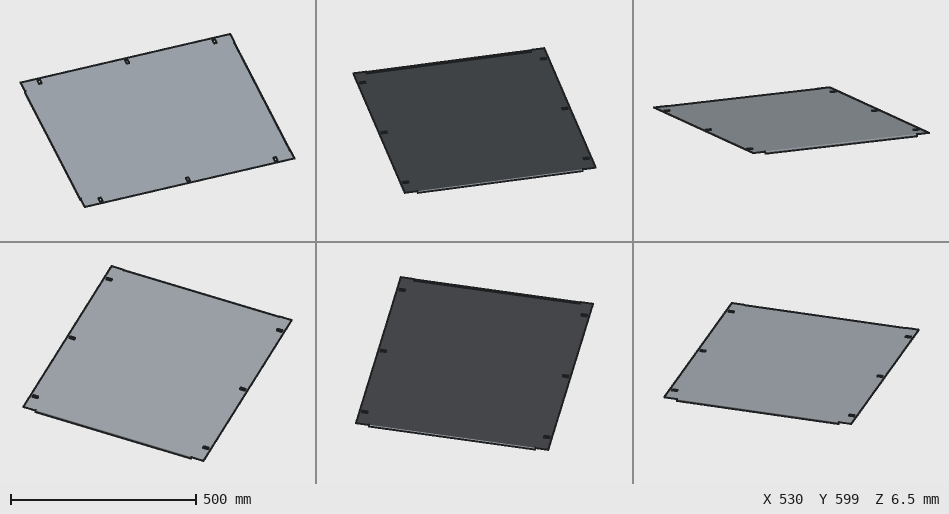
import cadquery as cq

panel_width = 530.0
panel_length = 599.0
total_height = 6.5
sheet_thickness = 1.0

corner_setback = 36.0
flange_width = panel_width - 2 * corner_setback
bend_outer_radius = 2.5
bend_inner_radius = bend_outer_radius - sheet_thickness

slot_width = 14.5
slot_height = 7.0
slot_edge_distance = 14.5
slot_row_spacing = 250.0

half_length = panel_length / 2
plate_bottom = total_height - sheet_thickness
bend_start = half_length - bend_outer_radius


def make_plate():
    """Flat sheet whose edges are cut back to the start of each bend."""
    plate = (
        cq.Workplane("XY", origin=(0, 0, plate_bottom))
        .rect(panel_width, panel_length)
        .extrude(sheet_thickness)
    )
    bend_notches = (
        cq.Workplane("XY", origin=(0, 0, plate_bottom))
        .pushPoints([(0, -half_length), (0, half_length)])
        .rect(flange_width, 2 * bend_outer_radius)
        .extrude(sheet_thickness)
    )
    return plate.cut(bend_notches)


def make_flange():
    """Rounded 90 degree bend and downward lip along the +Y edge."""
    bend_centre_height = total_height - bend_outer_radius
    return (
        cq.Workplane("YZ", origin=(-flange_width / 2, 0, 0))
        .moveTo(bend_start, total_height)
        .radiusArc((half_length, bend_centre_height), bend_outer_radius)
        .lineTo(half_length, 0)
        .lineTo(half_length - sheet_thickness, 0)
        .lineTo(half_length - sheet_thickness, bend_centre_height)
        .radiusArc((bend_start, plate_bottom), -bend_inner_radius)
        .close()
        .extrude(flange_width)
    )


def make_slots():
    """Two columns of three through slots beside the X edges."""
    return (
        cq.Workplane("XY")
        .rarray(panel_width - 2 * slot_edge_distance, slot_row_spacing, 2, 3)
        .rect(slot_width, slot_height)
        .extrude(total_height)
    )


flange = make_flange()
result = make_plate().union(flange).union(flange.mirror("XZ")).cut(make_slots())